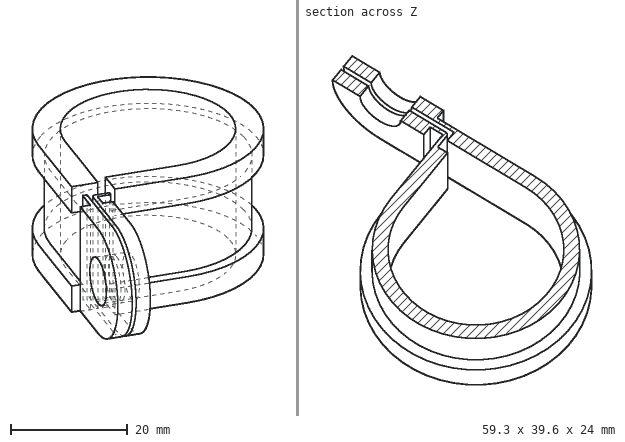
import cadquery as cq

length = 59.3
ring_radius = 19.8
bore_radius = 15.0
ring_height = 24.0
groove_height = 14.0
strap_radius = 17.8
strap_thickness = 0.8
strap_height = 20.0
side_leg_length = 13.1
front_leg_length = 16.5
ear_start = 20.4
ear_thickness = 2.6
ear_gap = 0.7
bolt_hole_diameter = 8.4
bend_radius = 0.6

ear_end = length - ring_radius
ear_center = ear_end - strap_height / 2
strap_inner = strap_radius - strap_thickness
lower_ear_face = -strap_inner
upper_ear_face = lower_ear_face + ear_gap


def slab(x_min, x_max, y_min, y_max, height):
    """Box between the given X and Y limits, centered on Z = 0."""
    box = cq.Workplane("XY").box(x_max - x_min, y_max - y_min, height, centered=(False, False, True))
    return box.translate((x_min, y_min, 0))


def band(inner, outer, height):
    """Three-quarter ring with a straight leg tangent to each end."""
    diagonal = 0.5 ** 0.5
    profile = (
        cq.Workplane("XY")
        .workplane(offset=-height / 2)
        .moveTo(outer, -side_leg_length)
        .lineTo(outer, 0)
        .threePointArc((-outer * diagonal, outer * diagonal), (0, -outer))
        .lineTo(front_leg_length, -outer)
        .lineTo(front_leg_length, -inner)
        .lineTo(0, -inner)
        .threePointArc((-inner * diagonal, inner * diagonal), (inner, 0))
        .lineTo(inner, -side_leg_length)
        .close()
    )
    return profile.extrude(height)


def ear(y_min):
    """Thick lug with a rounded +X end, spanning ear_thickness from y_min."""
    half_height = strap_height / 2
    return (
        cq.Workplane("XZ", origin=(0, y_min, 0))
        .moveTo(ear_start, -half_height)
        .lineTo(ear_center, -half_height)
        .threePointArc((ear_end, 0), (ear_center, half_height))
        .lineTo(ear_start, half_height)
        .close()
        .extrude(-ear_thickness)
    )


groove = band(strap_radius, ring_radius, groove_height)
ring = band(bore_radius, ring_radius, ring_height).cut(groove)

lower_tail = slab(front_leg_length, ear_start, -strap_radius, -strap_inner, strap_height)

bent_drop = slab(strap_inner, strap_radius, upper_ear_face, -side_leg_length, strap_height)
bent_run = slab(strap_inner, ear_start, upper_ear_face, upper_ear_face + strap_thickness, strap_height)
upper_tail = bent_drop.union(bent_run)
upper_tail = upper_tail.faces("<X").edges("<Y").fillet(bend_radius)

bolt_hole = (
    cq.Workplane("XZ", origin=(ear_center, 0, 0))
    .circle(bolt_hole_diameter / 2)
    .extrude(ring_radius)
)

result = (
    ring.union(lower_tail)
    .union(upper_tail)
    .union(ear(lower_ear_face - ear_thickness))
    .union(ear(upper_ear_face))
    .cut(bolt_hole)
    .clean()
)